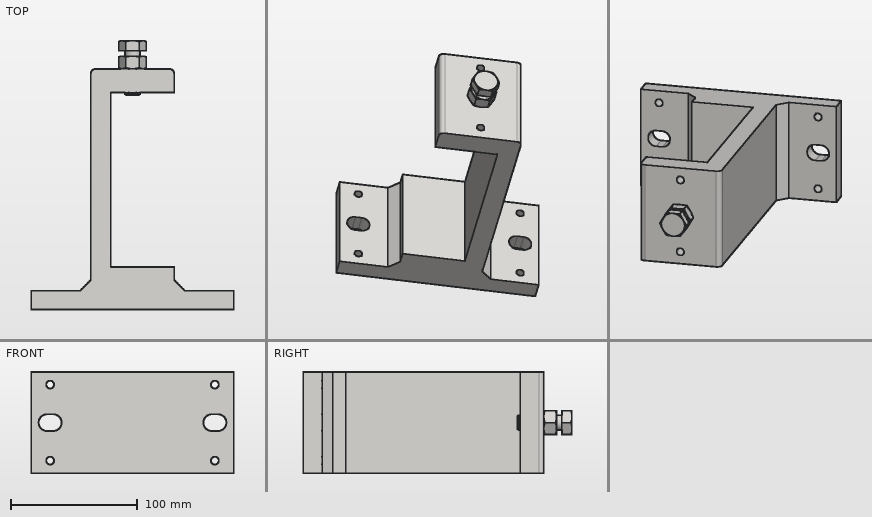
import cadquery as cq
import math

height = 80.0
base_length = 160.0
base_thickness = 15.0
arm_width = 66.0
wall_thickness = 16.0
arm_top = 190.0
flange_thickness = 18.75
ledge_top = 33.75
foot_chamfer = 8.25
flange_corner_radius = 4.0

hole_spacing_x = 130.0
hole_spacing_z = 60.0
small_hole_diameter = 6.0
slot_length = 18.0
slot_width = 13.0

thread_diameter = 12.0
screw_length = 35.0
tip_chamfer = 0.9
hex_sides = 6
across_flats = 19.0
head_height = 8.0
nut_height = 10.0
overall_depth = 212.15
hex_bevel_angle = 30.0

arm_half = arm_width / 2
base_half = base_length / 2
wall_inner_x = -arm_half + wall_thickness
flange_inner_y = arm_top - flange_thickness
chamfer_top = base_thickness + foot_chamfer
head_underside = overall_depth - head_height
across_corners = across_flats / math.cos(math.pi / hex_sides)


def plane_at(y):
    """Plane at the given Y, facing +Y, with local x along +X."""
    return cq.Workplane("XZ", origin=(0, y, 0)).workplane(invert=True)


def make_bracket():
    """Extruded C-shaped arm standing on the base plate."""
    profile = [
        (-base_half, 0),
        (base_half, 0),
        (base_half, base_thickness),
        (arm_half + foot_chamfer, base_thickness),
        (arm_half, chamfer_top),
        (arm_half, ledge_top),
        (wall_inner_x, ledge_top),
        (wall_inner_x, flange_inner_y),
        (arm_half, flange_inner_y),
        (arm_half, arm_top),
        (-arm_half, arm_top),
        (-arm_half, chamfer_top),
        (-arm_half - foot_chamfer, base_thickness),
        (-base_half, base_thickness),
    ]
    body = cq.Workplane("XY").polyline(profile).close().extrude(height / 2, both=True)
    return body.edges("|Z and >Y").fillet(flange_corner_radius)


def base_holes():
    """Four corner holes and two slots through the base plate."""
    corner_holes = (
        plane_at(0)
        .rarray(hole_spacing_x, hole_spacing_z, 2, 2)
        .circle(small_hole_diameter / 2)
        .extrude(base_thickness)
    )
    slots = (
        plane_at(0)
        .rarray(hole_spacing_x, 1, 2, 1)
        .slot2D(slot_length, slot_width)
        .extrude(base_thickness)
    )
    return corner_holes.union(slots)


def flange_holes():
    """Two holes through the flange, above and below the screw."""
    return (
        plane_at(flange_inner_y)
        .rarray(1, hole_spacing_z, 1, 2)
        .circle(small_hole_diameter / 2)
        .extrude(flange_thickness)
    )


def make_hexagon(start_y, thickness, beveled_ends):
    """Hexagonal prism with corners on the X axis and conical bevels at the chosen ends."""
    prism = plane_at(start_y).polygon(hex_sides, across_corners).extrude(thickness)
    bevel_width = (across_corners - across_flats) / 2
    bevel_depth = bevel_width * math.tan(math.radians(hex_bevel_angle))
    envelope = (
        plane_at(start_y)
        .circle(across_corners / 2)
        .extrude(thickness)
        .faces(beveled_ends)
        .chamfer(bevel_depth, bevel_width)
    )
    return prism.intersect(envelope)


def make_screw():
    """Hexagon screw through the flange, held by a lock nut on its outer face."""
    shank = (
        plane_at(head_underside - screw_length)
        .circle(thread_diameter / 2)
        .extrude(screw_length)
        .faces("<Y")
        .chamfer(tip_chamfer)
    )
    head = make_hexagon(head_underside, head_height, ">Y")
    nut = make_hexagon(arm_top, nut_height, "<Y or >Y")
    return shank.union(head).union(nut)


result = make_bracket().cut(base_holes()).cut(flange_holes()).union(make_screw())